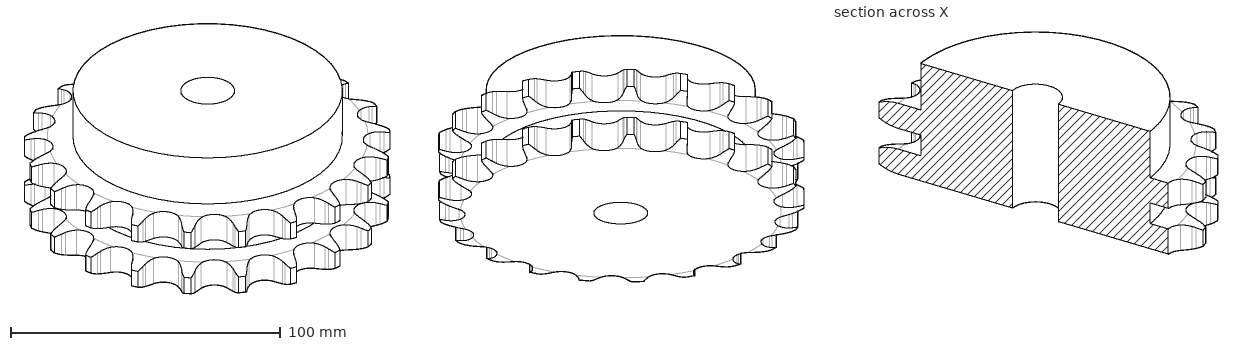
import cadquery as cq
import math

tooth_count = 21
pitch_diameter = 127.8
overall_width = 135.8
tip_half_angle = 1.1

total_height = 50.0
row_width = 10.9
row_spacing = 19.4

hub_diameter = 100.0
bore_diameter = 20.0

seat_radius = 6.1
working_radius = 15.8
flank_length = 1.5
topping_radius = 10.0
seat_half_angle = 90 - (35 + 60 / tooth_count)
working_angle = 18 - 56 / tooth_count
topping_angle = 20

side_start_radius = 59.5
side_round_radius = 19.0

pitch_radius = pitch_diameter / 2
outermost_corner_angle = 360 / tooth_count / 4 - tip_half_angle
outer_radius = overall_width / 2 / math.cos(math.radians(outermost_corner_angle))
cutter_apex_radius = outer_radius + seat_radius


def arc_point(center, radius, angle):
    """Point on a circle, with the angle in degrees measured from -Y towards +X."""
    turn = math.radians(angle)
    return (center[0] + radius * math.sin(turn), center[1] - radius * math.cos(turn))


def toothed_row_blank():
    """Disc without gaps, thinned towards its rim by arcs on both faces."""
    reach = outer_radius - side_start_radius

    def side_depth(distance):
        return side_round_radius - math.sqrt(side_round_radius**2 - distance**2)

    rim_depth = side_depth(reach)
    middle_radius = side_start_radius + reach / 2
    middle_depth = side_depth(reach / 2)
    return (
        cq.Workplane("XZ")
        .lineTo(side_start_radius, 0)
        .threePointArc((middle_radius, middle_depth), (outer_radius, rim_depth))
        .lineTo(outer_radius, row_width - rim_depth)
        .threePointArc((middle_radius, row_width - middle_depth), (side_start_radius, row_width))
        .lineTo(0, row_width)
        .close()
        .revolve(360, (0, 0), (0, 1))
    )


def tooth_gap_cutter():
    """Full-height cutter for the gap centred on +Y."""
    seat_center = (0, pitch_radius)
    working_start = seat_half_angle
    flank_angle = working_start + working_angle

    working_center = arc_point(seat_center, seat_radius - working_radius, working_start)
    seat_end = arc_point(seat_center, seat_radius, working_start)
    working_middle = arc_point(working_center, working_radius, working_start + working_angle / 2)
    working_end = arc_point(working_center, working_radius, flank_angle)

    flank_end = arc_point(working_end, flank_length, flank_angle + 90)

    topping_center = arc_point(flank_end, topping_radius, flank_angle)
    topping_middle = arc_point(topping_center, -topping_radius, flank_angle - topping_angle / 2)
    topping_end = arc_point(topping_center, -topping_radius, flank_angle - topping_angle)

    def mirrored(point):
        return (-point[0], point[1])

    return (
        cq.Workplane("XY")
        .moveTo(*mirrored(seat_end))
        .threePointArc((0, pitch_radius - seat_radius), seat_end)
        .threePointArc(working_middle, working_end)
        .lineTo(*flank_end)
        .threePointArc(topping_middle, topping_end)
        .lineTo(0, cutter_apex_radius)
        .lineTo(*mirrored(topping_end))
        .threePointArc(mirrored(topping_middle), mirrored(flank_end))
        .lineTo(*mirrored(working_end))
        .threePointArc(mirrored(working_middle), mirrored(seat_end))
        .close()
        .extrude(total_height)
    )


sprocket = cq.Workplane("XY").circle(hub_diameter / 2).extrude(total_height)
for row_bottom in (0, row_spacing):
    sprocket = sprocket.union(toothed_row_blank().translate((0, 0, row_bottom)))

gap_cutter = tooth_gap_cutter()
for gap in range(tooth_count):
    sprocket = sprocket.cut(gap_cutter.rotate((0, 0, 0), (0, 0, 1), gap * 360 / tooth_count))

bore = cq.Workplane("XY").circle(bore_diameter / 2).extrude(total_height)
result = sprocket.cut(bore)